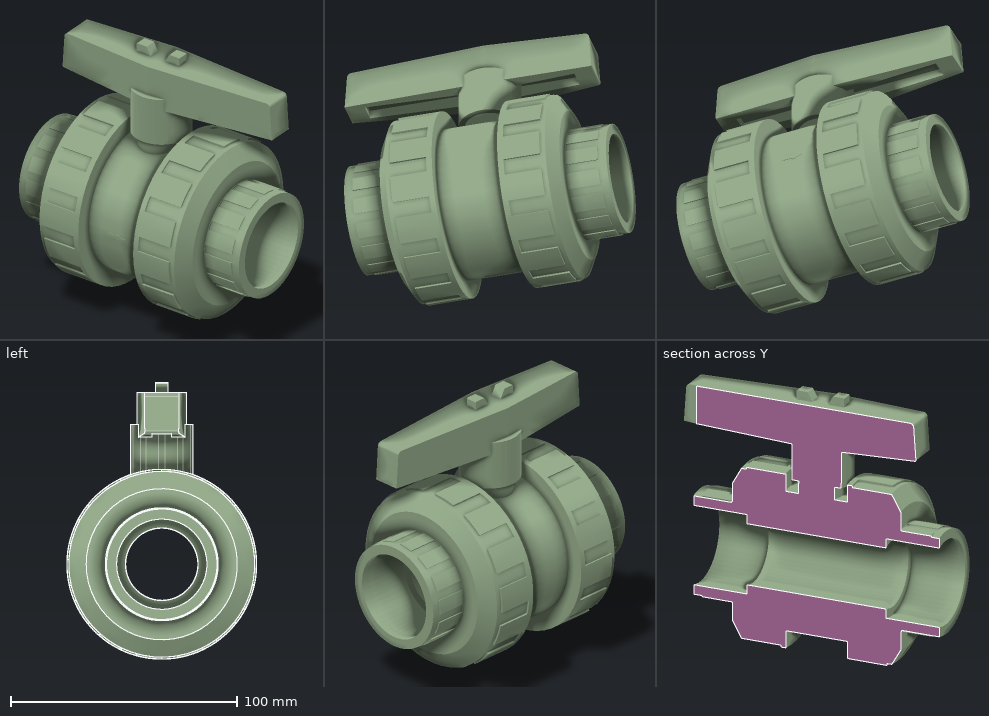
import cadquery as cq
import math

overall_length = 125.2


body_dia = 68.0
bore_dia = 32.0

valve_length = 120.4
end_x = valve_length / 2
socket_dia = 40.0
socket_depth = 26.0
spigot_dia = 49.0
spigot_pad_dia = 50.0
spigot_pad_start = 3.9
spigot_band_width = 0.4

nut_inner_x = 15.0
nut_outer_x = 41.3
nut_dia = 82.3
nut_pad_dia = 84.0
nut_face_dia = 66.9
nut_bevel_length = 4.5
nut_band_width = 2.6
nut_pad_end_x = 34.5

pad_count = 14
pad_angle = 16.0
pad_phase = 5.1
gap_cut_clearance = 1.3

neck_dia = 22.4
collar_bottom_z = 39.1
collar_top_z = 61.9
collar_dia = 27.8
flat_count = 10
flat_angle = 12.0

lever_top_z = 76.0
lever_end_bottom_z = 58.1
lever_middle_bottom_z = 55.7
lever_half_width = 11.0
lever_side_taper = 0.072
lever_left_x = -48.7
lever_right_x = overall_length - end_x
lever_end_lean = 1.3
lever_top_radius = 2.0
lever_corner_radius = 0.8
lever_slot_width = 8.6
lever_slot_wall = 8.8

lug_width = 5.6
lug_top_z = 80.4
lug_outer_x = 11.6
lug_top_inner_x = 6.3
lug_foot_inner_x = 3.8
lug_edge_radius = 0.5

arrow_length = 9.5
arrow_head_length = 4.9
arrow_head_width = 2.6
arrow_shaft_width = 1.4
arrow_height = 0.3


def x_cylinder(x_start, x_stop, dia):
    return cq.Workplane("YZ", origin=(x_start, 0, 0)).circle(dia / 2).extrude(x_stop - x_start)


def cut_pad_gaps(turned, x_start, x_stop, root_dia, dia):
    """Split a raised ring into grip pads by cutting the gaps between them down to the root surface."""
    pitch = 360 / pad_count
    gap_angle = pitch - pad_angle
    gap = (
        cq.Workplane("XY")
        .moveTo(x_start, root_dia / 2)
        .lineTo(x_stop, root_dia / 2)
        .lineTo(x_stop, dia / 2 + gap_cut_clearance)
        .lineTo(x_start, dia / 2 + gap_cut_clearance)
        .close()
        .revolve(gap_angle, (0, 0, 0), (1, 0, 0))
        .rotate((0, 0, 0), (1, 0, 0), pad_angle / 2 - pad_phase)
    )
    gaps = [gap.rotate((0, 0, 0), (1, 0, 0), i * pitch).val() for i in range(pad_count)]
    return turned.cut(cq.Workplane(cq.Compound.makeCompound(gaps)))


def union_end():
    """Nut and spigot of the -X end, turned in one piece and then given its grip pads."""
    band_x = -nut_inner_x - nut_band_width
    spigot_band_x = -nut_outer_x - spigot_band_width
    spigot_pad_x = -end_x + spigot_pad_start
    turned = (
        cq.Workplane("XY")
        .moveTo(-end_x, 0)
        .lineTo(-end_x, spigot_dia / 2)
        .lineTo(spigot_pad_x, spigot_dia / 2)
        .lineTo(spigot_pad_x, spigot_pad_dia / 2)
        .lineTo(-nut_outer_x, spigot_pad_dia / 2)
        .lineTo(-nut_outer_x, nut_face_dia / 2)
        .lineTo(-nut_outer_x + nut_bevel_length, nut_dia / 2)
        .lineTo(-nut_pad_end_x, nut_dia / 2)
        .lineTo(-nut_pad_end_x, nut_pad_dia / 2)
        .lineTo(-nut_inner_x, nut_pad_dia / 2)
        .lineTo(-nut_inner_x, 0)
        .close()
        .revolve(360, (0, 0, 0), (1, 0, 0))
    )
    turned = cut_pad_gaps(turned, -nut_pad_end_x, band_x, nut_dia, nut_pad_dia)
    return cut_pad_gaps(turned, spigot_pad_x, spigot_band_x, spigot_dia, spigot_pad_dia)


def polar(radius, degrees):
    angle = math.radians(degrees)
    return (radius * math.cos(angle), radius * math.sin(angle))


def faceted_collar():
    """Round collar with narrow flats, the first one facing +X."""
    pitch = 360 / flat_count
    radius = collar_dia / 2
    outline = cq.Workplane("XY", origin=(0, 0, collar_bottom_z)).moveTo(*polar(radius, -flat_angle / 2))
    for i in range(flat_count):
        middle = i * pitch
        outline = outline.lineTo(*polar(radius, middle + flat_angle / 2))
        outline = outline.threePointArc(
            polar(radius, middle + pitch / 2),
            polar(radius, middle + pitch - flat_angle / 2),
        )
    return outline.close().extrude(collar_top_z - collar_bottom_z)


def lever():
    side = (
        cq.Workplane("XZ")
        .moveTo(lever_left_x, lever_end_bottom_z)
        .lineTo(lever_left_x + lever_end_lean, lever_top_z)
        .lineTo(lever_right_x - lever_end_lean, lever_top_z)
        .lineTo(lever_right_x, lever_end_bottom_z)
        .lineTo(0, lever_middle_bottom_z)
        .close()
        .extrude(lever_half_width, both=True)
    )
    side = side.edges("|Y").edges(">Z").fillet(lever_top_radius)
    side = side.edges("|Y").edges("<X").fillet(lever_corner_radius)
    left_half_width = lever_half_width + lever_side_taper * lever_left_x
    right_half_width = lever_half_width - lever_side_taper * lever_right_x
    plan = (
        cq.Workplane("XY")
        .moveTo(lever_left_x, -left_half_width)
        .lineTo(0, -lever_half_width)
        .lineTo(lever_right_x, -right_half_width)
        .lineTo(lever_right_x, right_half_width)
        .lineTo(0, lever_half_width)
        .lineTo(lever_left_x, left_half_width)
        .close()
        .extrude(lever_top_z)
    )
    slot_left_x = lever_left_x + lever_slot_wall
    slot_right_x = lever_right_x - lever_slot_wall
    slot = (
        cq.Workplane("XY", origin=(slot_left_x, 0, 0))
        .box(slot_right_x - slot_left_x, lever_slot_width, collar_top_z, centered=(False, True, False))
    )
    return side.intersect(plan).cut(slot)


def lug():
    """Stop lug of the +X side, sloping on the face towards the stem axis."""
    return (
        cq.Workplane("XZ")
        .moveTo(lug_foot_inner_x, lever_top_z)
        .lineTo(lug_top_inner_x, lug_top_z)
        .lineTo(lug_outer_x, lug_top_z)
        .lineTo(lug_outer_x, lever_top_z)
        .close()
        .extrude(lug_width / 2, both=True)
        .edges("|Y")
        .edges(">Z")
        .fillet(lug_edge_radius)
    )


def flow_arrow():
    """Arrow raised on the -Y side of the body, pointing along +X."""
    tip_x = arrow_length / 2
    head_x = tip_x - arrow_head_length
    prism = (
        cq.Workplane("XZ")
        .moveTo(-tip_x, -arrow_shaft_width / 2)
        .lineTo(head_x, -arrow_shaft_width / 2)
        .lineTo(head_x, -arrow_head_width / 2)
        .lineTo(tip_x, 0)
        .lineTo(head_x, arrow_head_width / 2)
        .lineTo(head_x, arrow_shaft_width / 2)
        .lineTo(-tip_x, arrow_shaft_width / 2)
        .close()
        .extrude(body_dia)
    )
    return prism.intersect(x_cylinder(-tip_x, tip_x, body_dia + 2 * arrow_height))


valve = x_cylinder(-nut_inner_x, nut_inner_x, body_dia)
left_end = union_end()
valve = valve.union(left_end).union(left_end.rotate((0, 0, 0), (0, 0, 1), 180))
valve = valve.union(flow_arrow())

neck = cq.Workplane("XY").circle(neck_dia / 2).extrude(collar_bottom_z)
valve = valve.union(neck).cut(x_cylinder(-end_x, end_x, bore_dia))
for face_x, direction in ((-end_x, 1), (end_x, -1)):
    valve = valve.cut(x_cylinder(face_x, face_x + direction * socket_depth, socket_dia))

valve = valve.union(faceted_collar()).union(lever())
right_lug = lug()
result = valve.union(right_lug).union(right_lug.mirror("YZ"))